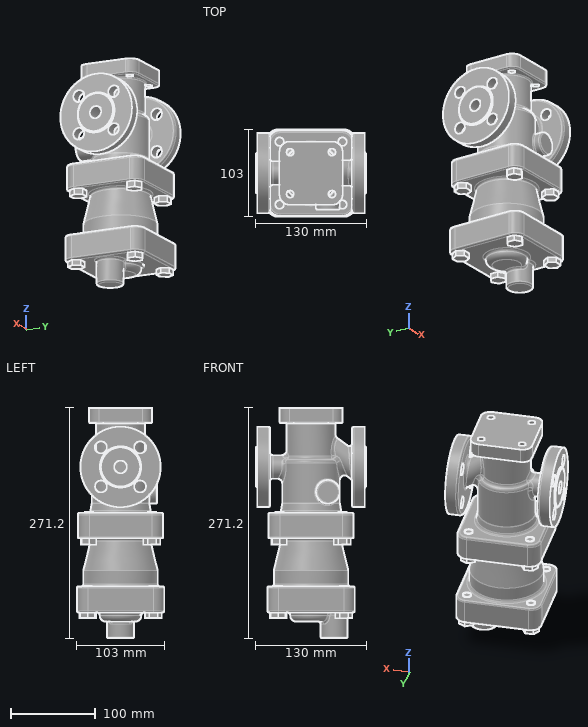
import cadquery as cq
import math

TOTAL_HEIGHT = 271.2

CAP_SIDE = 74.3
CAP_THICKNESS = 18.0
CAP_CORNER = 11.7
CAP_EDGE_FILLET = 1.5
CAP_HOLE_DIAMETER = 8.5
CAP_HOLE_OFFSET = 24.7

NECK_RADIUS = 58.0 / 2
NECK_FILLET = 1.4
BODY_RADIUS = 68.0 / 2
SHOULDER_TOP = 214.8
SHOULDER_HEIGHT = 8.1
FLARE_TOP = 159.2
FLARE_RADIUS = 35.5
FLARE_FILLET = 2.7
FOOT_OVERLAP = 2.7

UPPER_FLANGE_SIDE = 100.5
UPPER_FLANGE_TOP = 148.0
UPPER_FLANGE_BOTTOM = 117.7
UPPER_FLANGE_TOP_FILLET = 2.5
UPPER_FLANGE_BOTTOM_FILLET = 1.5
UPPER_FLANGE_CORNER = 13.3
UPPER_HEAD_HEIGHT = 7.3

CONE_TOP_RADIUS = 69.7 / 2
CONE_TOP_FILLET = 2.5
LOWER_BODY_RADIUS = 88.0 / 2
CONE_BOTTOM = 80.3
LOWER_BODY_FILLET = 3.0

LOWER_FLANGE_SIDE = 103.0
LOWER_FLANGE_TOP = 61.0
LOWER_FLANGE_BOTTOM = 30.0
LOWER_FLANGE_TOP_FILLET = 1.5
LOWER_FLANGE_BOTTOM_FILLET = 2.5
LOWER_FLANGE_CORNER = 12.7
LOWER_HEAD_HEIGHT = 6.5

HEAD_ACROSS_FLATS = 17.4
STUD_DIAMETER = 10.0
STUD_PROTRUSION = 0.8

COVER_BOTTOM = 19.5
COVER_RADIUS = 24.7
COVER_ROUND = 7.3
COVER_FILLET = LOWER_FLANGE_BOTTOM - COVER_BOTTOM - COVER_ROUND
DRAIN_X = 27.0
DRAIN_DIAMETER = 32.0
DRAIN_END_FILLET = 2.0
DRAIN_FILLET = 2.7

OVERALL_LENGTH = 130.0
PIPE_Z = 201.8
PIPE_DIAMETER = 28.0
PIPE_FLANGE_DIAMETER = 95.0
PIPE_FLANGE_THICKNESS = 15.2
PIPE_FLANGE_FILLET = 2.5
RAISED_FACE_DIAMETER = 48.8
RAISED_FACE_HEIGHT = 1.5
RAISED_FACE_CHAMFER = 1.4
BORE_DIAMETER = 15.0
BORE_DEPTH = 27.0
BOLT_HOLE_DIAMETER = 14.0
BOLT_CIRCLE_DIAMETER = 65.0
OUTLET_DIAMETER = 29.8
OUTLET_ANGLE = 36.0
OUTLET_MEETING_X = 52.5
PIPE_TO_FLANGE_FILLET = 3.0
PIPE_TO_BODY_FILLET = 5.5
PIPE_JOINT_NEAR_X = 21.7

PLUG_X = 19.8
PLUG_Z = 172.5
PLUG_DIAMETER = 28.0
PLUG_FACE_Y = -43.0
PLUG_EDGE_FILLET = 1.5
PLUG_FILLET = 1.5

GAP = 0.3

RAISED_FACE_X = OVERALL_LENGTH / 2
FLANGE_OUTER_X = RAISED_FACE_X - RAISED_FACE_HEIGHT
FLANGE_INNER_X = FLANGE_OUTER_X - PIPE_FLANGE_THICKNESS
CAP_BOTTOM = TOTAL_HEIGHT - CAP_THICKNESS


def square_plate(side, bottom, top, corner):
    """Square plate with rounded vertical corners."""
    plate = cq.Workplane("XY").workplane(offset=bottom).rect(side, side).extrude(top - bottom)
    return plate.edges("|Z").fillet(corner)


def square_flange(side, bottom, top, corner, bottom_fillet, top_fillet, head_height):
    """Square flange with a hex bolt head below and a stud end above each corner."""
    flange = square_plate(side, bottom, top, corner)
    flange = flange.faces("<Z").edges().fillet(bottom_fillet)
    flange = flange.faces(">Z").edges().fillet(top_fillet)
    bolt_offset = side / 2 - corner
    bolt_radius = bolt_offset * math.sqrt(2)
    head_across_corners = HEAD_ACROSS_FLATS / math.cos(math.pi / 6)
    head = (
        cq.Workplane("XY").workplane(offset=bottom - head_height)
        .center(bolt_offset, -bolt_offset)
        .polygon(6, head_across_corners).extrude(head_height)
    )
    for quarter in range(4):
        flange = flange.union(head.rotate((0, 0, 0), (0, 0, 1), 90 * quarter))
    studs = (
        cq.Workplane("XY").workplane(offset=top)
        .polarArray(bolt_radius, 45, 360, 4)
        .circle(STUD_DIAMETER / 2).extrude(STUD_PROTRUSION)
    )
    return flange.union(studs)


def top_cap():
    """Square cap with four through holes."""
    cap = square_plate(CAP_SIDE, CAP_BOTTOM, TOTAL_HEIGHT, CAP_CORNER)
    cap = cap.faces("<Z").edges().fillet(CAP_EDGE_FILLET)
    hole_pitch = 2 * CAP_HOLE_OFFSET
    return (
        cap.faces(">Z").workplane()
        .rect(hole_pitch, hole_pitch, forConstruction=True).vertices()
        .hole(CAP_HOLE_DIAMETER)
    )


def upper_body():
    """Turned body from the cap down into the upper flange."""
    shoulder_step = (BODY_RADIUS - NECK_RADIUS) / 2
    arc_height = SHOULDER_HEIGHT / 2
    shoulder_arc = (shoulder_step**2 + arc_height**2) / (2 * shoulder_step)
    foot_radius = FLARE_RADIUS + FLARE_FILLET
    foot_bottom = UPPER_FLANGE_BOTTOM + FOOT_OVERLAP
    profile = (
        cq.Workplane("XZ")
        .moveTo(0, foot_bottom)
        .lineTo(foot_radius, foot_bottom)
        .lineTo(foot_radius, UPPER_FLANGE_TOP)
        .radiusArc((FLARE_RADIUS, UPPER_FLANGE_TOP + FLARE_FILLET), FLARE_FILLET)
        .lineTo(BODY_RADIUS, FLARE_TOP)
        .lineTo(BODY_RADIUS, SHOULDER_TOP - SHOULDER_HEIGHT)
        .radiusArc((BODY_RADIUS - shoulder_step, SHOULDER_TOP - arc_height), -shoulder_arc)
        .radiusArc((NECK_RADIUS, SHOULDER_TOP), shoulder_arc)
        .lineTo(NECK_RADIUS, CAP_BOTTOM - NECK_FILLET)
        .radiusArc((NECK_RADIUS + NECK_FILLET, CAP_BOTTOM), NECK_FILLET)
        .lineTo(0, CAP_BOTTOM)
        .close()
    )
    return profile.revolve(360, (0, 0, 0), (0, 1, 0))


def lower_body():
    """Turned body between the two square flanges."""
    foot_radius = LOWER_BODY_RADIUS + LOWER_BODY_FILLET
    profile = (
        cq.Workplane("XZ")
        .moveTo(0, LOWER_FLANGE_TOP)
        .lineTo(foot_radius, LOWER_FLANGE_TOP)
        .radiusArc((LOWER_BODY_RADIUS, LOWER_FLANGE_TOP + LOWER_BODY_FILLET), LOWER_BODY_FILLET)
        .lineTo(LOWER_BODY_RADIUS, CONE_BOTTOM)
        .lineTo(CONE_TOP_RADIUS, UPPER_FLANGE_BOTTOM)
        .lineTo(0, UPPER_FLANGE_BOTTOM)
        .close()
    )
    return profile.revolve(360, (0, 0, 0), (0, 1, 0))


def bottom_cover():
    """Shallow turned dish under the lower flange, joined with the drain pipe."""
    profile = (
        cq.Workplane("XZ")
        .moveTo(0, COVER_BOTTOM)
        .lineTo(COVER_RADIUS - COVER_ROUND, COVER_BOTTOM)
        .radiusArc((COVER_RADIUS, COVER_BOTTOM + COVER_ROUND), -COVER_ROUND)
        .radiusArc((COVER_RADIUS + COVER_FILLET, LOWER_FLANGE_BOTTOM), COVER_FILLET)
        .lineTo(0, LOWER_FLANGE_BOTTOM)
        .close()
    )
    cover = profile.revolve(360, (0, 0, 0), (0, 1, 0))
    drain = cq.Workplane("XY").center(DRAIN_X, 0).circle(DRAIN_DIAMETER / 2).extrude(LOWER_FLANGE_BOTTOM)
    drain = drain.faces("<Z").edges().fillet(DRAIN_END_FILLET)
    return cover.union(drain)


def pipe_flange():
    """Round flange of the +X side: disc and raised face, without holes."""
    disc = (
        cq.Workplane("YZ").workplane(offset=FLANGE_INNER_X).center(0, PIPE_Z)
        .circle(PIPE_FLANGE_DIAMETER / 2).extrude(PIPE_FLANGE_THICKNESS)
        .faces("<X").edges().fillet(PIPE_FLANGE_FILLET)
    )
    face = (
        cq.Workplane("YZ").workplane(offset=FLANGE_OUTER_X).center(0, PIPE_Z)
        .circle(RAISED_FACE_DIAMETER / 2).extrude(RAISED_FACE_HEIGHT)
        .faces(">X").edges().chamfer(RAISED_FACE_CHAMFER)
    )
    return disc.union(face)


def pipe_flange_holes():
    """Bolt holes and blind bore of the +X flange."""
    bolts = (
        cq.Workplane("YZ").workplane(offset=FLANGE_INNER_X).center(0, PIPE_Z)
        .polarArray(BOLT_CIRCLE_DIAMETER / 2, 45, 360, 4)
        .circle(BOLT_HOLE_DIAMETER / 2).extrude(PIPE_FLANGE_THICKNESS)
    )
    bore = (
        cq.Workplane("YZ").workplane(offset=RAISED_FACE_X - BORE_DEPTH).center(0, PIPE_Z)
        .circle(BORE_DIAMETER / 2).extrude(BORE_DEPTH)
    )
    return bolts.union(bore)


def inlet_pipe():
    """Straight pipe from the body axis to the -X flange."""
    return (
        cq.Workplane("YZ").workplane(offset=-FLANGE_OUTER_X).center(0, PIPE_Z)
        .circle(PIPE_DIAMETER / 2).extrude(FLANGE_OUTER_X)
    )


def outlet_pipe():
    """Slanted pipe that rises from the +X flange towards the neck."""
    angle = math.radians(OUTLET_ANGLE)
    length = 2 * OUTLET_MEETING_X / math.cos(angle)
    pipe = (
        cq.Workplane("XY").circle(OUTLET_DIAMETER / 2).extrude(length)
        .translate((0, 0, -length / 2))
        .rotate((0, 0, 0), (0, 1, 0), OUTLET_ANGLE - 90)
        .translate((OUTLET_MEETING_X, 0, PIPE_Z))
    )
    inside = cq.Workplane("XY").box(
        FLANGE_OUTER_X, OUTLET_DIAMETER, TOTAL_HEIGHT, centered=(False, True, False)
    )
    return pipe.intersect(inside)


def plug():
    """Round plug that stands out of the body towards -Y."""
    boss = (
        cq.Workplane("XZ").center(PLUG_X, PLUG_Z)
        .circle(PLUG_DIAMETER / 2).extrude(-PLUG_FACE_Y)
    )
    return boss.faces("<Y").edges().fillet(PLUG_EDGE_FILLET)


def fillet_between(solid, radius, low_corner, high_corner):
    """Fillet the edges that lie wholly inside the given box."""
    joint = cq.selectors.BoxSelector(low_corner, high_corner, boundingbox=True)
    return solid.edges(joint).fillet(radius)


def upper_casting():
    """Upper body with both pipes, their flanges and the plug, all blended together."""
    casting = (
        upper_body().union(inlet_pipe()).union(outlet_pipe())
        .union(pipe_flange()).union(pipe_flange().mirror("YZ")).union(plug())
    )
    half_width = PIPE_DIAMETER
    low = PIPE_Z - PIPE_DIAMETER
    high = CAP_BOTTOM - NECK_FILLET
    joint_spans = (
        (FLANGE_INNER_X - GAP, FLANGE_INNER_X + GAP, PIPE_TO_FLANGE_FILLET),
        (PIPE_JOINT_NEAR_X, FLARE_RADIUS, PIPE_TO_BODY_FILLET),
    )
    for near, far, radius in joint_spans:
        casting = fillet_between(casting, radius, (-far, -half_width, low), (-near, half_width, high))
        casting = fillet_between(casting, radius, (near, -half_width, low), (far, half_width, high))
    return fillet_between(
        casting, PLUG_FILLET,
        (PLUG_X - PLUG_DIAMETER, -FLARE_RADIUS, PLUG_Z - PLUG_DIAMETER / 2 - GAP),
        (FLARE_RADIUS, 0, PLUG_Z + PLUG_DIAMETER / 2 + GAP),
    )


def middle_casting():
    """Upper square flange blended into the cone of the lower body."""
    flange = square_flange(
        UPPER_FLANGE_SIDE, UPPER_FLANGE_BOTTOM, UPPER_FLANGE_TOP, UPPER_FLANGE_CORNER,
        UPPER_FLANGE_BOTTOM_FILLET, UPPER_FLANGE_TOP_FILLET, UPPER_HEAD_HEIGHT,
    )
    reach = CONE_TOP_RADIUS + GAP
    return fillet_between(
        flange.union(lower_body()), CONE_TOP_FILLET,
        (-reach, -reach, UPPER_FLANGE_BOTTOM - GAP),
        (reach, reach, UPPER_FLANGE_BOTTOM + GAP),
    )


def bottom_casting():
    """Lower square flange with the bottom cover and the drain pipe blended together."""
    flange = square_flange(
        LOWER_FLANGE_SIDE, LOWER_FLANGE_BOTTOM, LOWER_FLANGE_TOP, LOWER_FLANGE_CORNER,
        LOWER_FLANGE_BOTTOM_FILLET, LOWER_FLANGE_TOP_FILLET, LOWER_HEAD_HEIGHT,
    )
    return fillet_between(
        flange.union(bottom_cover()), DRAIN_FILLET,
        (0, -COVER_RADIUS, COVER_BOTTOM - GAP),
        (DRAIN_X + GAP, COVER_RADIUS, LOWER_FLANGE_BOTTOM - GAP),
    )


holes = pipe_flange_holes()
result = (
    bottom_casting().union(middle_casting()).union(upper_casting()).union(top_cap())
    .cut(holes).cut(holes.mirror("YZ"))
)